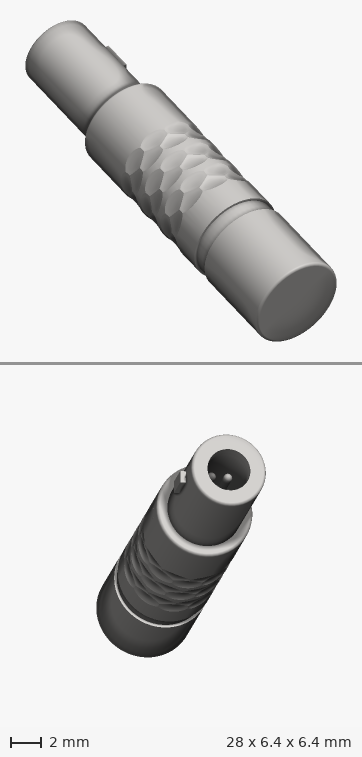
import cadquery as cq

total_length = 28.0
body_diameter = 6.4
body_radius = body_diameter / 2
nose_radius = 2.5
nose_length = 7.95
rim_fillet = 0.2

groove_start = 20.78
groove_end = 21.95
groove_radius = 3.02

bore_radius = 1.43
bore_depth = 6.72
pin_diameter = 0.6
pin_radius = pin_diameter / 2
pin_spacing = 1.1
pin_tip_fillet = 0.98 * pin_radius
pin_tip = 2.8

key_start = 1.93
key_length = 2.07
key_width = 0.78
key_top = 2.85

dot_x = 9.3
dot_radius = 0.35
dot_depth = 0.28

band_count = 3
band_start = 12.9
band_pitch = 2.3
row_spacing = 0.67
dimples_per_row = 10
dimple_depth = 0.2
scoop_radius = 1.18
scoop_length = body_radius


def cylinder_along_x(radius, start, end):
    """Solid cylinder on the X axis between two X positions."""
    return cq.Workplane("YZ").workplane(offset=start).circle(radius).extrude(end - start)


def make_shell():
    """Nose and body with rounded rims, before the grip and groove are cut."""
    nose = cylinder_along_x(nose_radius, 0, nose_length + rim_fillet)
    nose = nose.faces("<X").edges().fillet(rim_fillet)
    body = cylinder_along_x(body_radius, nose_length, total_length)
    body = body.edges("%CIRCLE").fillet(rim_fillet)
    return nose.union(body)


def make_groove():
    """Ring that forms the rear groove when cut away."""
    outside = cylinder_along_x(body_diameter, groove_start, groove_end)
    return outside.cut(cylinder_along_x(groove_radius, groove_start, groove_end))


def make_dimple_row(row_x, first_angle):
    """Ring of cylinders lying tangent to the body, one for each dimple."""
    axis_distance = body_radius - dimple_depth + scoop_radius
    scoops = []
    for index in range(dimples_per_row):
        angle = first_angle + index * 360 / dimples_per_row
        scoop = cq.Solid.makeCylinder(
            scoop_radius,
            scoop_length,
            cq.Vector(row_x, axis_distance, -scoop_length / 2),
            cq.Vector(0, 0, 1),
        )
        scoops.append(scoop.rotate(cq.Vector(0, 0, 0), cq.Vector(1, 0, 0), angle))
    return scoops


def cut_grip(part):
    """Cut all bands; the rear row of each is turned by half a dimple."""
    half_step = 180 / dimples_per_row
    scoops = []
    for band in range(band_count):
        front_row_x = band_start + band * band_pitch
        scoops += make_dimple_row(front_row_x, 0)
        scoops += make_dimple_row(front_row_x + row_spacing, half_step)
    return cq.Workplane(part.val().cut(*scoops))


def make_key():
    """Flat-topped key rooted in the wall of the nose."""
    key_root = (nose_radius + bore_radius) / 2
    return cq.Workplane("XY").box(
        key_length, key_top - key_root, key_width, centered=(False, False, True)
    ).translate((key_start, key_root, 0))


def make_dot():
    """Flat disc whose face just touches the body radius."""
    disc = cq.Solid.makeCylinder(
        dot_radius,
        dot_depth,
        cq.Vector(dot_x, body_radius - dot_depth, 0),
        cq.Vector(0, 1, 0),
    )
    return cq.Workplane(disc)


def make_pins():
    """Four contact pins with fully rounded tips."""
    pin_base = bore_depth + pin_radius
    return (
        cq.Workplane("YZ")
        .workplane(offset=pin_tip)
        .rect(pin_spacing, pin_spacing, forConstruction=True)
        .vertices()
        .circle(pin_radius)
        .extrude(pin_base - pin_tip)
        .faces("<X")
        .edges()
        .fillet(pin_tip_fillet)
    )


shell = cut_grip(make_shell())
shell = shell.cut(make_groove())
shell = shell.union(make_key()).union(make_dot())
shell = shell.cut(cylinder_along_x(bore_radius, 0, bore_depth))
result = shell.union(make_pins())